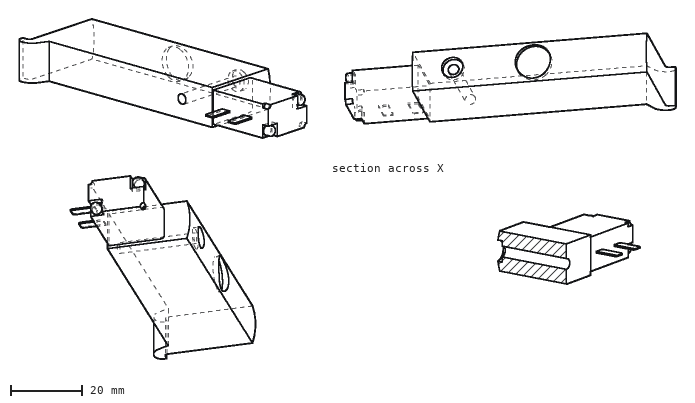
import cadquery as cq

BODY_LEFT = 2.6
BODY_RIGHT = 69.2
BODY_FRONT = 6.6
SHOULDER_Y = 29.6
CROWN_Y = 30.5
THICKNESS = 11.7

HOOK_ROOT_X = 7.6
HOOK_SLANT_END = (5.9, 2.9)
HOOK_BOTTOM = (2.4, 1.1)
HOOK_OUTER_BEND = (4.4, 1.5)
HOOK_NOSE_BEND = (0.7, 1.7)
HOOK_NOSE_Y = 3.0
HOOK_TOP_Y = 4.05
HOOK_INNER_RADIUS = 1.1

DIMPLE_X = 34.9
DIMPLE_DIAMETER = 10.0
HOLE_X = 57.8
HOLE_DIAMETER = 3.0
COUNTERBORE_DIAMETER = 6.0
RECESS_DEPTH = 1.8

SWITCH_RIGHT = 89.9
SWITCH_FRONT = 7.0
SWITCH_BACK = 23.0
SWITCH_THICKNESS = 10.0
SWITCH_EDGE_RADIUS = 1.0

NOTCH_LENGTH = 2.1
SCOOP_RADIUS = 1.1
POCKET_SIZE = 3.9
PEG_DIAMETER = 3.0
PEG_INSET = 1.9
PEG_TIP_RADIUS = 0.6

PIN_CENTERS_X = (74.0, 82.4)
PIN_WIDTH = 2.8
PIN_THICKNESS = 0.45
PIN_TIP_LENGTH = 0.45
PIN_TIP_WIDTH = 2.3
PIN_TIP_THICKNESS = 0.3


def make_body():
    """Hooked plate with a shallow cylindrical crown on its +Y side."""
    outline = (
        cq.Workplane("XY")
        .workplane(offset=-THICKNESS / 2)
        .moveTo(BODY_LEFT, CROWN_Y)
        .lineTo(BODY_RIGHT, CROWN_Y)
        .lineTo(BODY_RIGHT, BODY_FRONT)
        .lineTo(HOOK_ROOT_X, BODY_FRONT)
        .lineTo(*HOOK_SLANT_END)
        .threePointArc(HOOK_OUTER_BEND, HOOK_BOTTOM)
        .threePointArc(HOOK_NOSE_BEND, (0, HOOK_NOSE_Y))
        .lineTo(0, HOOK_TOP_Y)
        .lineTo(BODY_LEFT - HOOK_INNER_RADIUS, HOOK_TOP_Y)
        .radiusArc((BODY_LEFT, HOOK_TOP_Y + HOOK_INNER_RADIUS), -HOOK_INNER_RADIUS)
        .close()
        .extrude(THICKNESS)
    )
    crowned_section = (
        cq.Workplane("YZ")
        .moveTo(0, -THICKNESS / 2)
        .lineTo(SHOULDER_Y, -THICKNESS / 2)
        .threePointArc((CROWN_Y, 0), (SHOULDER_Y, THICKNESS / 2))
        .lineTo(0, THICKNESS / 2)
        .close()
        .extrude(BODY_RIGHT)
    )
    return outline.intersect(crowned_section)


def cylinder_from_crown(x, diameter, depth):
    """Cylinder entering the body from the top of the crown towards -Y."""
    return cq.Workplane("XZ", origin=(x, CROWN_Y, 0)).circle(diameter / 2).extrude(depth)


def block_at_corner(y, z, size):
    """Square block centred on one long edge of the switch block, at its right end."""
    start = SWITCH_RIGHT - NOTCH_LENGTH
    return cq.Workplane("YZ", origin=(start, y, z)).rect(size, size).extrude(NOTCH_LENGTH)


def round_at_end(y, z, diameter):
    """Cylinder along X over the notched length at the right end."""
    start = SWITCH_RIGHT - NOTCH_LENGTH
    return cq.Workplane("YZ", origin=(start, y, z)).circle(diameter / 2).extrude(NOTCH_LENGTH)


def make_switch():
    """Block with rounded back edges, two scooped corners and two pegged corners."""
    half = SWITCH_THICKNESS / 2
    block = (
        cq.Workplane("XY")
        .box(
            SWITCH_RIGHT - BODY_RIGHT,
            SWITCH_BACK - SWITCH_FRONT,
            SWITCH_THICKNESS,
        )
        .translate(((BODY_RIGHT + SWITCH_RIGHT) / 2, (SWITCH_FRONT + SWITCH_BACK) / 2, 0))
        .edges("|X and >Y")
        .fillet(SWITCH_EDGE_RADIUS)
    )
    for side, scoop_y, peg_corner_y, inward in (
        (1, SWITCH_FRONT, SWITCH_BACK, -1),
        (-1, SWITCH_BACK, SWITCH_FRONT, 1),
    ):
        block = block.cut(round_at_end(scoop_y, side * half, 2 * SCOOP_RADIUS))
        block = block.cut(block_at_corner(peg_corner_y, side * half, 2 * POCKET_SIZE))
        peg_y = peg_corner_y + inward * PEG_INSET
        peg_z = side * (half - PEG_INSET)
        peg = round_at_end(peg_y, peg_z, PEG_DIAMETER).faces(">X").edges().fillet(PEG_TIP_RADIUS)
        block = block.union(peg)
    return block


def make_pin(x):
    """Flat blade reaching down to Y = 0 with a tapered tip."""
    blade = (
        cq.Workplane("XZ", origin=(x, SWITCH_FRONT, 0))
        .rect(PIN_WIDTH, PIN_THICKNESS)
        .extrude(SWITCH_FRONT - PIN_TIP_LENGTH)
    )
    tip = (
        cq.Workplane("XZ", origin=(x, PIN_TIP_LENGTH, 0))
        .rect(PIN_WIDTH, PIN_THICKNESS)
        .workplane(offset=PIN_TIP_LENGTH)
        .rect(PIN_TIP_WIDTH, PIN_TIP_THICKNESS)
        .loft()
    )
    return blade.union(tip)


body = make_body()
body = body.cut(cylinder_from_crown(DIMPLE_X, DIMPLE_DIAMETER, RECESS_DEPTH))
body = body.cut(cylinder_from_crown(HOLE_X, COUNTERBORE_DIAMETER, RECESS_DEPTH))
body = body.cut(cylinder_from_crown(HOLE_X, HOLE_DIAMETER, CROWN_Y))

result = body.union(make_switch())
for pin_x in PIN_CENTERS_X:
    result = result.union(make_pin(pin_x))